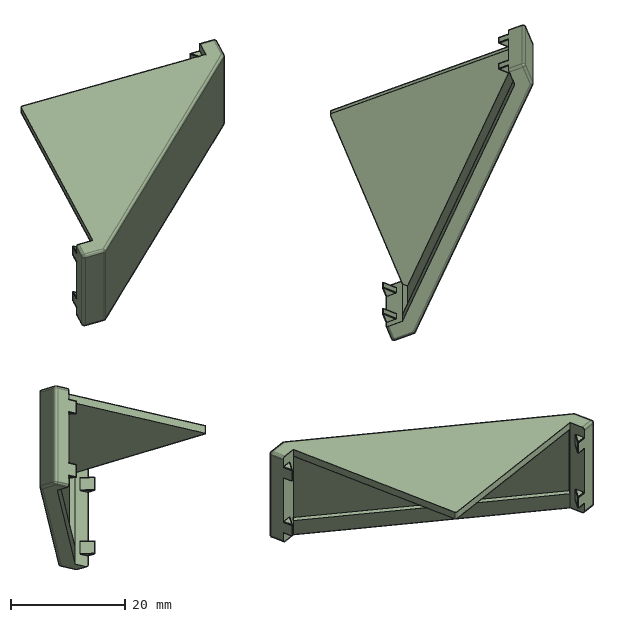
import cadquery as cq
import math

side = 41.0
height = 18.0
leg = 3.08
wall = 3.0
ledge_height = 3.0
recess_shift = 0.7
plate = 1.4
edge_radius = 0.5
corner_radius = 0.33
clip_reach = 1.8
clip_tip = 0.2
clip_height = 2.4
clip_inset = 2.0
clip_chamfer = 0.12

inner = side - leg
leg_end = wall * math.sqrt(2)
plate_bottom = height - plate


def prism(points, bottom, top):
    """Extrude a closed XY outline from one height to another."""
    return cq.Workplane("XY").workplane(offset=bottom).polyline(points).close().extrude(top - bottom)


def nearest(x, y, z):
    """Selector for the edge whose middle lies closest to a point."""
    return cq.selectors.NearestToPointSelector((x, y, z))


def make_body():
    """Solid bracket outline with its outer edges rounded."""
    outline = [
        (leg, leg),
        (inner, leg),
        (inner, 0),
        (side, 0),
        (side, leg_end),
        (leg_end, side),
        (0, side),
        (0, inner),
        (leg, inner),
    ]
    body = prism(outline, 0, height)
    middle = height / 2
    outer_corners = [(side, 0), (side, leg_end), (leg_end, side), (0, side)]
    for x, y in outer_corners:
        body = body.edges(nearest(x, y, middle)).fillet(edge_radius)
    body = body.edges(nearest(leg, leg, middle)).fillet(corner_radius)
    diagonal_middle = (side + leg_end) / 2
    for z in (0, height):
        body = body.edges(nearest(diagonal_middle, diagonal_middle, z)).fillet(edge_radius)
    return body


def make_hollow():
    """Space under the plate, cut deeper into the wall above the ledge."""
    space_outline = [(0, 0), (inner, 0), (inner, leg), (leg, inner), (0, inner)]
    recess_outline = [
        (inner, leg),
        (inner + recess_shift, leg + recess_shift),
        (leg + recess_shift, inner + recess_shift),
        (leg, inner),
    ]
    space = prism(space_outline, 0, plate_bottom)
    return space.union(prism(recess_outline, ledge_height, plate_bottom))


def make_clip(bottom):
    """Wedge on the inner face of the leg beside the X side, bevelled along its exposed edges."""
    tip_x = inner - clip_reach
    outline = [(inner, 0), (inner, clip_tip + clip_reach), (tip_x, clip_tip), (tip_x, 0)]
    clip = prism(outline, bottom, bottom + clip_height)
    return clip.faces("|Z").edges("not(>X)").chamfer(clip_chamfer)


def mirror_diagonal(solid):
    """Swap X and Y."""
    return solid.mirror(cq.Vector(1, -1, 0), cq.Vector(0, 0, 0))


result = make_body().cut(make_hollow())
for clip_bottom in (clip_inset, height - clip_inset - clip_height):
    clip = make_clip(clip_bottom)
    result = result.union(clip).union(mirror_diagonal(clip))